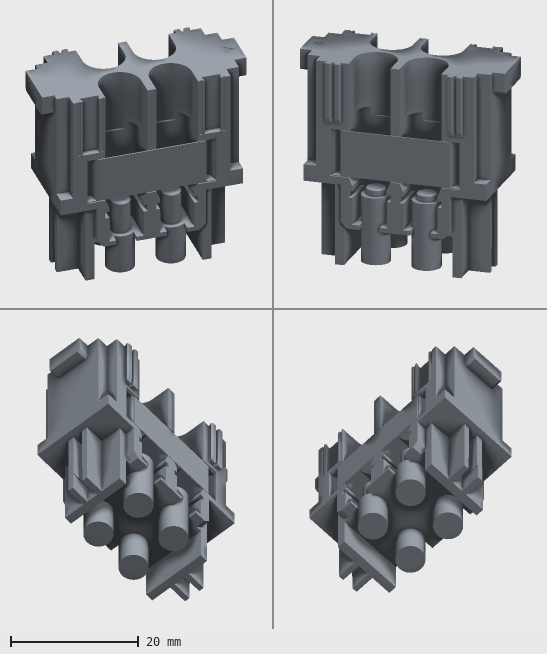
import cadquery as cq

height = 34.2
body_x = 14.7
body_y = 30.03
body_bottom = 13.95
side = body_x / 2
end = body_y / 2

tab_reach = 2.0
tab_height = 3.5
tab_chamfer = 0.4
front_tab_width = 8.28
back_tab_width = 6.2

corner_notch = 2.05
corner_notch_bottom = 16.7

block_bottom = 6.77
block_half_y = 8.93
block_chamfer = 1.03

plate_width = 11.35
plate_outer_y = 10.35
rib_width = 3.85
rib_outer_y = 13.85
rib_groove_width = 1.78
rib_groove_mouth_width = 2.05
rib_groove_mouth_height = 3.95

contact_x = 4.15
contact_y = 4.17
chamber_radius = 3.45
bore_bottom = 23.77
channel_top = 25.17
channel_inner_x = 1.13
channel_half_width = 2.85
funnel_top = 15.32
funnel_bottom = 13.85
collar_groove_top = 13.05
collar_groove_bottom = 11.95
floor_top = 7.52
floor_slot_width = 3.35

pin_radius = 2.35
pin_bottom = 0.85
stub_radius = 1.6
stub_chamfer = 0.15
stub_top = collar_groove_top

recess_half_y = 10.65
recess_top = 23.25
recess_bottom = 15.25
panel_half_y = 8.8
panel_top = 22.98
panel_bottom = 15.4
panel_thickness = 0.2
end_slot_depth = 1.88
end_slot_mouth_depth = 0.72
end_slot_step = 0.2
end_slot_taper = 0.25
panel_end_chamfer = 0.27
panel_end_taper = 0.35

rail_y = 10.02
rail_reach = 0.9
rail_root_half = 1.15
rail_head_half = 1.35
rail_tip_half = 1.05
rail_tip_depth = 0.25
rail_head_depth = 0.65
rail_slot_width = 0.5
rail_slot_flare = 0.17
rail_bottom = 24.28
rail_chamfer_height = 0.82
rail_chamfer_depth = 0.27
groove_depth = 1.03
groove_mouth_half = 1.3
groove_base_half = 1.55
nick_offset = 1.9
nick_width = 0.38
nick_depth = 0.17

arrow_base_y = 14.33
arrow_width = 2.05
arrow_length = 1.8
arrow_depth = 0.07


def box(x0, x1, y0, y1, z0, z1):
    """Box between two opposite corners, given in any order."""
    size = (abs(x1 - x0), abs(y1 - y0), abs(z1 - z0))
    middle = ((x0 + x1) / 2, (y0 + y1) / 2, (z0 + z1) / 2)
    return cq.Workplane("XY").box(*size).translate(middle)


def prism(points, z0, z1):
    """Upright prism over a plan outline."""
    return cq.Workplane("XY").workplane(offset=z0).polyline(points).close().extrude(z1 - z0)


def end_tab(width, y_sign):
    half = width / 2
    tab = box(-half, half, 0, y_sign * (end + tab_reach), height - tab_height, height)
    return tab.edges("|Y and <Z").chamfer(tab_chamfer)


def leg(y_sign):
    half_plate = plate_width / 2
    half_rib = rib_width / 2
    half_groove = rib_groove_width / 2
    half_mouth = rib_groove_mouth_width / 2
    plate_y = y_sign * plate_outer_y
    rib_y = y_sign * rib_outer_y
    shape = box(-half_plate, half_plate, y_sign * block_half_y, plate_y, 0, body_bottom)
    shape = shape.union(box(-half_rib, half_rib, plate_y, rib_y, 0, body_bottom))
    shape = shape.cut(box(-half_groove, half_groove, plate_y, rib_y, 0, body_bottom))
    return shape.cut(box(-half_mouth, half_mouth, plate_y, rib_y, 0, rib_groove_mouth_height))


def contact_block():
    """Block with its lower end edges chamfered outside the width of the legs."""
    block = box(-side, side, -block_half_y, block_half_y, block_bottom, body_bottom)
    block = block.edges("|X and <Z").chamfer(block_chamfer)
    core_half = plate_width / 2
    return block.union(box(-core_half, core_half, -block_half_y, block_half_y, block_bottom, body_bottom))


def chamber(x_sign, y_centre):
    """Round-ended bay at the top, then a channel with funnel, collar groove and floor slot."""
    bay = (
        cq.Workplane("XY").workplane(offset=bore_bottom)
        .center(x_sign * contact_x, y_centre)
        .circle(chamber_radius).extrude(height - bore_bottom)
    )
    bay = bay.union(box(
        x_sign * contact_x, x_sign * side,
        y_centre - chamber_radius, y_centre + chamber_radius, bore_bottom, height,
    ))
    half_profile = [
        (chamber_radius, channel_top),
        (chamber_radius, funnel_top),
        (channel_half_width, funnel_bottom),
        (channel_half_width, collar_groove_top),
        (chamber_radius, collar_groove_top),
        (chamber_radius, collar_groove_bottom),
        (channel_half_width, collar_groove_bottom),
        (channel_half_width, floor_top),
    ]
    profile = half_profile + [(-y, z) for y, z in reversed(half_profile)]
    channel = (
        cq.Workplane("YZ", origin=(x_sign * channel_inner_x, y_centre, 0))
        .polyline(profile).close().extrude(x_sign * (side - channel_inner_x))
    )
    floor_slot = box(
        x_sign * contact_x, x_sign * side,
        y_centre - floor_slot_width / 2, y_centre + floor_slot_width / 2, block_bottom, floor_top,
    )
    return bay.union(channel).union(floor_slot)


def contact(x_sign, y_centre):
    """Contact pin; its shoulder is raised on the -X side and level with the floor on +X."""
    shoulder = collar_groove_bottom if x_sign < 0 else floor_top
    base = cq.Workplane("XY", origin=(x_sign * contact_x, y_centre, pin_bottom))
    pin = base.circle(pin_radius).extrude(shoulder - pin_bottom)
    stub = base.circle(stub_radius).extrude(stub_top - pin_bottom).faces(">Z").chamfer(stub_chamfer)
    return pin.union(stub)


def cover_recess(x_sign):
    """Shallow recess in the side face with a deeper stepped and tapered slot at each end."""
    face = x_sign * side
    recess = box(
        face - x_sign * panel_thickness, face,
        -recess_half_y, recess_half_y, recess_bottom, recess_top,
    )
    chamfer_x = face - x_sign * panel_end_chamfer
    step_x = face - x_sign * end_slot_mouth_depth
    base_x = face - x_sign * end_slot_depth
    for y_sign in (-1, 1):
        inner_y = y_sign * panel_half_y
        chamfer_y = y_sign * (panel_half_y + panel_end_chamfer)
        mouth_y = y_sign * recess_half_y
        stepped_y = y_sign * (recess_half_y - end_slot_step)
        base_inner_y = chamfer_y + y_sign * panel_end_taper
        base_outer_y = stepped_y - y_sign * end_slot_taper
        outline = [
            (face, inner_y), (chamfer_x, chamfer_y), (base_x, base_inner_y),
            (base_x, base_outer_y), (step_x, stepped_y), (face, stepped_y),
        ]
        recess = recess.union(prism(outline, panel_bottom, panel_top))
        recess = recess.union(box(face, step_x, stepped_y, mouth_y, recess_bottom, recess_top))
    return recess


def cover_panel(x_sign):
    face = x_sign * side
    return box(
        face - x_sign * panel_thickness, face,
        -panel_half_y, panel_half_y, panel_bottom, panel_top,
    )


def coding_rail(y_centre):
    """Split rail with a flared, bevelled head and a sloped lower end."""
    tip_x = -side - rail_reach
    head_x = tip_x + rail_tip_depth
    half_outline = [
        (-side, rail_root_half),
        (tip_x + rail_head_depth, rail_root_half),
        (head_x, rail_head_half),
        (tip_x, rail_tip_half),
    ]
    outline = half_outline + [(x, -y) for x, y in reversed(half_outline)]
    rail = prism(outline, rail_bottom, height)
    slot_radius = rail_slot_width / 2
    slot_end_x = -side - slot_radius
    flare_half = slot_radius + rail_slot_flare
    half_slot = [(slot_end_x, slot_radius), (head_x, slot_radius), (tip_x, flare_half)]
    slot = prism(half_slot + [(x, -y) for x, y in reversed(half_slot)], rail_bottom, height)
    round_end = (
        cq.Workplane("XY", origin=(slot_end_x, 0, rail_bottom))
        .circle(slot_radius).extrude(height - rail_bottom)
    )
    lower_corner = (
        cq.Workplane("XZ")
        .moveTo(tip_x, rail_bottom)
        .lineTo(tip_x + rail_chamfer_depth, rail_bottom)
        .lineTo(tip_x, rail_bottom + rail_chamfer_height)
        .close().extrude(rail_head_half, both=True)
    )
    return rail.cut(slot).cut(round_end).cut(lower_corner).translate((0, y_centre, 0))


def coding_groove(y_centre):
    """Dovetail groove open at the top, with a small nick on either side."""
    base_x = side - groove_depth
    outline = [
        (side, groove_mouth_half), (base_x, groove_base_half),
        (base_x, -groove_base_half), (side, -groove_mouth_half),
    ]
    groove = prism(outline, rail_bottom, height)
    for y_sign in (-1, 1):
        nick_y = y_sign * nick_offset
        groove = groove.union(box(
            side - nick_depth, side,
            nick_y - nick_width / 2, nick_y + nick_width / 2, rail_bottom, height,
        ))
    return groove.translate((0, y_centre, 0))


def arrow_mark():
    half = arrow_width / 2
    outline = [(-half, arrow_base_y), (half, arrow_base_y), (0, arrow_base_y + arrow_length)]
    return prism(outline, height - arrow_depth, height)


result = box(-side, side, -end, end, body_bottom, height)
for x_sign in (-1, 1):
    for y_sign in (-1, 1):
        result = result.cut(box(
            x_sign * (side - corner_notch), x_sign * side,
            y_sign * (end - corner_notch), y_sign * end, corner_notch_bottom, height,
        ))
result = result.union(end_tab(front_tab_width, -1)).union(end_tab(back_tab_width, 1))
result = result.union(contact_block())
for y_sign in (-1, 1):
    result = result.union(leg(y_sign))

for x_sign in (-1, 1):
    for y_sign in (-1, 1):
        result = result.cut(chamber(x_sign, y_sign * contact_y))
    result = result.cut(cover_recess(x_sign)).union(cover_panel(x_sign))
    for y_sign in (-1, 1):
        result = result.union(contact(x_sign, y_sign * contact_y))

for y_sign in (-1, 1):
    result = result.union(coding_rail(y_sign * rail_y))
    result = result.cut(coding_groove(y_sign * rail_y))
result = result.cut(arrow_mark())